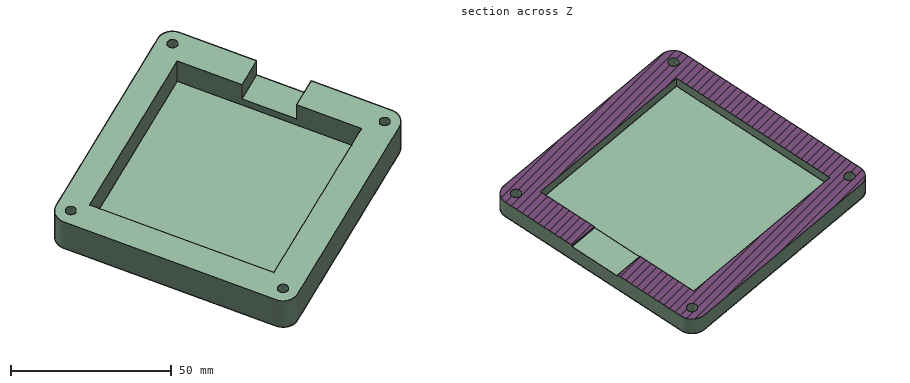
import cadquery as cq

length_x = 83.0
length_y = 84.0
height = 13.0
corner_radius = 5.0

hole_diameter = 3.4

wall_left = 9.3
wall_right = 10.3
wall_front = 9.6
wall_back = 10.7
pocket_depth = 10.0

notch_left = 31.6
notch_width = 18.7
notch_depth = 7.0


def block():
    """Plate with rounded vertical edges, its lower front left corner at the origin."""
    plate = cq.Workplane("XY").box(length_x, length_y, height, centered=False)
    return plate.edges("|Z").fillet(corner_radius)


def cut_from_top(x, y, size_x, size_y, depth):
    """Rectangular volume reaching down from the top face."""
    return (
        cq.Workplane("XY")
        .box(size_x, size_y, depth, centered=False)
        .translate((x, y, height - depth))
    )


def corner_holes():
    """Four vertical cylinders on the corner arc centres."""
    centres = [
        (x, y)
        for x in (corner_radius, length_x - corner_radius)
        for y in (corner_radius, length_y - corner_radius)
    ]
    return cq.Workplane("XY").pushPoints(centres).circle(hole_diameter / 2).extrude(height)


pocket_x = length_x - wall_left - wall_right
pocket_y = length_y - wall_front - wall_back
pocket = cut_from_top(wall_left, wall_front, pocket_x, pocket_y, pocket_depth)
notch = cut_from_top(notch_left, length_y - wall_back, notch_width, wall_back, notch_depth)

result = block().cut(pocket).cut(notch).cut(corner_holes())